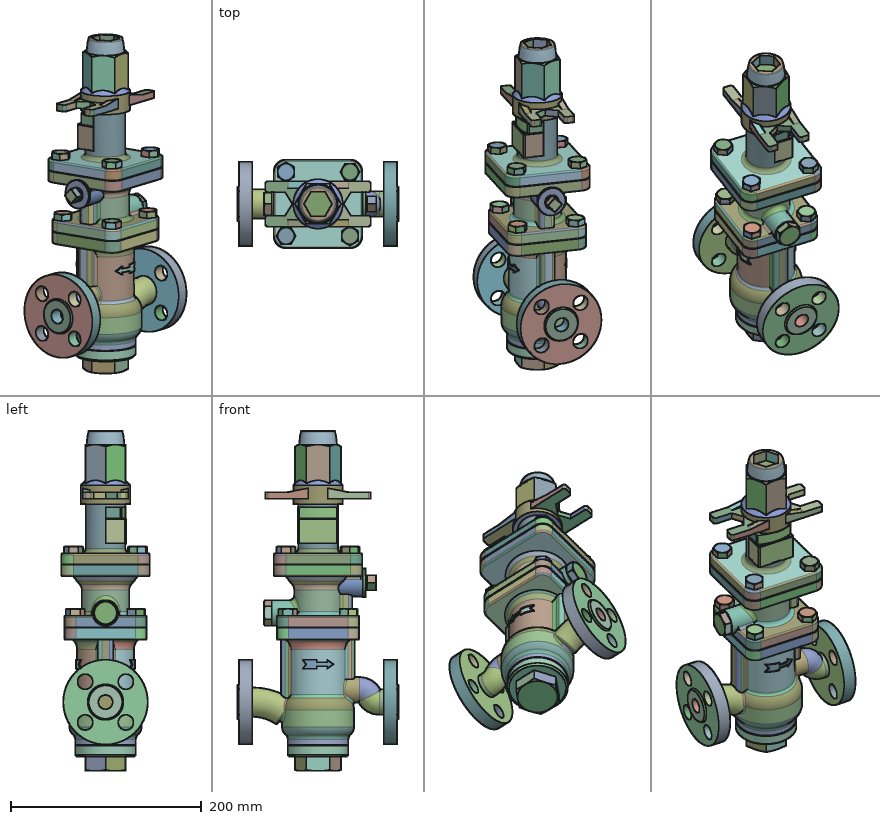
import cadquery as cq
import math


FACE_TO_FACE = 170.0
FLANGE_DIAMETER = 89.0
FLANGE_THICKNESS = 14.0
RAISED_FACE_HEIGHT = 2.0
RAISED_FACE_DIAMETER = 35.0
RAISED_FACE_ROOT_DIAMETER = 37.5
FLANGE_HOLE_DIAMETER = 16.0
FLANGE_BOLT_CIRCLE = 60.5
PORT_DIAMETER = 15.0

INLET_DIAMETER = 31.0
INLET_BEND_RADIUS = 59.0
INLET_BEND_ANGLE = 36.0
OUTLET_DIAMETER = 27.0
OUTLET_BEND_RADIUS = 11.7
OUTLET_BEND_ANGLE = 63.6
OUTLET_STUB_END = 64.5
PIPE_JOINT_FILLET = 2.0

BOTTOM = -72.3
CAP_BOTTOM = -57.3
CAP_CHAMFER = 2.0
CAP_TOP = -45.6
CAP_RADIUS = 32.0
BOTTOM_HEX_FLATS = 42.0
BOTTOM_HEX_CHAMFER = 1.5
BULB_RADIUS = 38.0
BULB_BOTTOM = -25.8
BULB_TOP = -7.9
BULB_LOWER_ROUND = 11.0
CAP_FILLET = 6.0
BULB_UPPER_ROUND = 16.0
NECK_FILLET = 4.5
NECK_RADIUS = 30.0
FLARE_START = 55.5
FLARE_RADIUS = 32.2
FLARE_TOP = 63.2
RIB_WIDTH = 16.0
INLET_RIB_REACH = 39.0
OUTLET_RIB_REACH = 38.7
RIB_ROUND = 4.0
RIB_ROOT_FILLET = 3.5
ARROW_RADIUS = 31.0

LOWER_PLATE_SIZE = 86.6
LOWER_PLATE_BOTTOM = 65.3
LOWER_PLATE_SPLIT = 78.4
LOWER_PLATE_TOP = 90.9
LOWER_CORNER_RADIUS = 12.0
LOWER_BOLT_CIRCLE = 90.0

MIDDLE_RADIUS = 25.0
MIDDLE_FOOT_FILLET = 4.5
MIDDLE_FLARE_START = 118.0
MIDDLE_CONE_START = 123.7
MIDDLE_CONE_START_RADIUS = 27.2
MIDDLE_CONE_END = 127.6
MIDDLE_CONE_END_RADIUS = 30.6
MIDDLE_FLARE_RADIUS = 67.53 / 2
PLUG_AXIS = 93.6
PLUG_BOSS_DIAMETER = 27.0
PLUG_BOSS_END = 48.7
PLUG_END = 56.7
PLUG_FLATS = 23.5
PLUG_CHAMFER_DROP = 1.5
BOSS_FILLET = 5.0
BOSS_FOOT_FILLET = 3.0
SIDE_BOSS_AXIS = 125.2
SIDE_BOSS_DIAMETER = 29.2
SIDE_WASHER_DIAMETER = 30.4
SIDE_BOSS_END = 47.0
SIDE_WASHER_END = 50.0
SIDE_SCREW_NECK_END = 51.5
SIDE_SCREW_NECK_DIAMETER = 15.0
SIDE_SCREW_END = 61.0
SIDE_SCREW_DIAGONAL = 16.0
SIDE_RIB_REACH = 36.0

UPPER_PLATE_SIZE = 93.0
UPPER_PLATE_BOTTOM = 132.0
UPPER_PLATE_SPLIT = 144.4
UPPER_PLATE_TOP = 156.4
UPPER_CORNER_RADIUS = 12.6
UPPER_BOLT_CIRCLE = 95.0

PLATE_EDGE_ROUND = 1.8
GASKET_THICKNESS = 0.6
GASKET_INSET = 0.5
BOLT_FLATS = 17.5
BOLT_HEAD_HEIGHT = 7.0
BOLT_CHAMFER_DROP = 1.2

STEM_RADIUS = 21.0
STEM_FOOT_FILLET = 5.0
BLOCK_WIDTH = 42.4
BLOCK_BOTTOM = 166.6
BLOCK_STEP = 192.9
BLOCK_TOP = 204.5
BLOCK_DEPTH = 21.8
BLOCK_SIDE_DEPTH = 17.2
BLOCK_BOW_DEPTH = 21.2
BLOCK_CHAMFER = 1.5
BLOCK_TOP_CHAMFER = 0.8
COLLAR_RADIUS = 26.0
COLLAR_BOTTOM = 207.9
COLLAR_TOP = 227.8
NUT_FLATS = 42.0
NUT_TOP = 270.2
NUT_CHAMFER_DROP = 2.5
TOP = 284.7
TIP_BASE_RADIUS = 20.0
TIP_TOP_RADIUS = 17.8
TIP_BULGE = 0.4
TIP_EDGE_ROUND = 1.0
SOCKET_FLATS = 25.6
SOCKET_DEPTH = 12.0

HANDLE_REACH = 55.5
HANDLE_HALF_WIDTH = 24.0
HANDLE_BOTTOM = 213.3
HANDLE_TOP = 220.5
ARM_INNER = 12.3
ARM_END_ROUND = 3.0
NOTCH_SHOULDER = 34.5
NOTCH_ROOT = 27.0
RAMP_FOOT = 32.0
RAMP_HEAD = 11.0
RAMP_TOP = 224.4
RAMP_INNER = 16.6


def cylinder_z(radius, bottom, top):
    return cq.Workplane("XY").workplane(offset=bottom).circle(radius).extrude(top - bottom)


def cylinder_x(diameter, start, end, height):
    plane = cq.Workplane("YZ", origin=(start, 0, height))
    return plane.circle(diameter / 2).extrude(end - start)


def hexagon_z(flats, bottom, top):
    """Hexagonal prism along Z with corners on the X axis."""
    corners = flats / math.cos(math.pi / 6)
    return cq.Workplane("XY").workplane(offset=bottom).polygon(6, corners).extrude(top - bottom)


def turned(profile):
    """Revolve a closed (radius, z) wire about the Z axis."""
    return profile.close().revolve(360, (0, 0, 0), (0, 1, 0))


def crowned(prism, flats, bottom, top, drop):
    """Trim the top corners of a hexagonal prism with a cone."""
    outer = flats / 2 / math.cos(math.pi / 6) + 1
    slope = (outer - flats / 2) / drop
    cone = turned(
        cq.Workplane("XZ").moveTo(0, bottom).lineTo(outer, bottom).lineTo(outer, top - drop)
        .lineTo(outer - slope * drop, top).lineTo(0, top)
    )
    return prism.intersect(cone)


def point_on_circle(center, radius, angle):
    return (center[0] + radius * math.cos(angle), center[1] + radius * math.sin(angle))


def shoulder_points(outer, start, crown, inner, fillet, direction):
    """Arc points of a convex crown that runs into a concave fillet on a slimmer neck."""
    crown_center = (outer - crown, start)
    reach = inner + fillet - crown_center[0]
    rise = math.sqrt((crown + fillet) ** 2 - reach ** 2)
    fillet_center = (inner + fillet, start + direction * rise)
    angle = direction * math.atan2(rise, reach)
    return {
        "outer": (outer, start),
        "crown_middle": point_on_circle(crown_center, crown, angle / 2),
        "joint": point_on_circle(crown_center, crown, angle),
        "fillet_middle": point_on_circle(fillet_center, fillet, math.pi + angle / 2),
        "inner": (inner, fillet_center[1]),
    }


def foot_fillet(radius, fillet, base):
    """Solid that flares a post of the given radius onto a flat base."""
    middle = fillet * (1 - math.sqrt(0.5))
    return turned(
        cq.Workplane("XZ").moveTo(0, base).lineTo(radius + fillet, base)
        .threePointArc((radius + middle, base + middle), (radius, base + fillet))
        .lineTo(0, base + fillet)
    )


def lower_body():
    low = shoulder_points(BULB_RADIUS, BULB_BOTTOM, BULB_LOWER_ROUND, CAP_RADIUS, CAP_FILLET, -1)
    high = shoulder_points(BULB_RADIUS, BULB_TOP, BULB_UPPER_ROUND, NECK_RADIUS, NECK_FILLET, 1)
    flare_middle = (NECK_RADIUS + 0.5, (FLARE_START + FLARE_TOP) / 2)
    body = turned(
        cq.Workplane("XZ").moveTo(0, CAP_BOTTOM)
        .lineTo(CAP_RADIUS - CAP_CHAMFER, CAP_BOTTOM)
        .lineTo(CAP_RADIUS, CAP_BOTTOM + CAP_CHAMFER)
        .lineTo(CAP_RADIUS, CAP_TOP)
        .lineTo(CAP_RADIUS - GASKET_INSET, CAP_TOP)
        .lineTo(CAP_RADIUS - GASKET_INSET, CAP_TOP + GASKET_THICKNESS)
        .lineTo(CAP_RADIUS, CAP_TOP + GASKET_THICKNESS)
        .lineTo(*low["inner"])
        .threePointArc(low["fillet_middle"], low["joint"])
        .threePointArc(low["crown_middle"], low["outer"])
        .lineTo(*high["outer"])
        .threePointArc(high["crown_middle"], high["joint"])
        .threePointArc(high["fillet_middle"], high["inner"])
        .lineTo(NECK_RADIUS, FLARE_START)
        .threePointArc(flare_middle, (FLARE_RADIUS, FLARE_TOP))
        .lineTo(FLARE_RADIUS + LOWER_PLATE_BOTTOM - FLARE_TOP, LOWER_PLATE_BOTTOM)
        .lineTo(0, LOWER_PLATE_BOTTOM)
    )
    plug = hexagon_z(BOTTOM_HEX_FLATS, -CAP_BOTTOM, -BOTTOM)
    plug = crowned(plug, BOTTOM_HEX_FLATS, -CAP_BOTTOM, -BOTTOM, BOTTOM_HEX_CHAMFER)
    return body.union(plug.mirror("XY"))


def side_rib(direction, body_radius, reach, bottom, top):
    """Vertical rib on the +X or -X side, rounded outside and blended into a round body."""
    half = RIB_WIDTH / 2
    center_y = half + RIB_ROOT_FILLET
    center_x = math.sqrt((body_radius + RIB_ROOT_FILLET) ** 2 - center_y ** 2)
    root_angle = math.atan2(center_y, center_x)
    root_x, root_y = point_on_circle((0, 0), body_radius, root_angle)
    middle_angle = (root_angle + math.pi + 1.5 * math.pi) / 2
    middle_x, middle_y = point_on_circle((center_x, center_y), RIB_ROOT_FILLET, middle_angle)
    rib = (
        cq.Workplane("XY").workplane(offset=bottom)
        .moveTo(0, root_y).lineTo(root_x, root_y)
        .threePointArc((middle_x, middle_y), (center_x, half))
        .lineTo(reach, half).lineTo(reach, -half).lineTo(center_x, -half)
        .threePointArc((middle_x, -middle_y), (root_x, -root_y))
        .lineTo(0, -root_y).close().extrude(top - bottom)
    )
    rib = rib.faces(">X").edges("|Z").fillet(RIB_ROUND)
    return rib if direction > 0 else rib.mirror("YZ")


def body_ribs():
    inlet_rib = side_rib(-1, NECK_RADIUS, INLET_RIB_REACH, BULB_TOP, LOWER_PLATE_BOTTOM)
    outlet_height = 2 * OUTLET_BEND_RADIUS * (1 - math.cos(math.radians(OUTLET_BEND_ANGLE)))
    outlet_rib = side_rib(1, NECK_RADIUS, OUTLET_RIB_REACH, outlet_height, LOWER_PLATE_BOTTOM)
    return inlet_rib.union(outlet_rib)


def flow_arrows():
    """Raised flow arrows pointing to +X on the front and back of the neck."""
    tail, block_end, head, tip = -16.0, -1.3, 9.5, 16.3
    middle, half_height, half_shaft = 39.7, 4.7, 2.0
    tail_notch = 3.5
    outline = [
        (tail, middle + half_height),
        (block_end, middle + half_height),
        (block_end, middle + half_shaft),
        (head, middle + half_shaft),
        (head, middle + half_height),
        (tip, middle),
        (head, middle - half_height),
        (head, middle - half_shaft),
        (block_end, middle - half_shaft),
        (block_end, middle - half_height),
        (tail, middle - half_height),
        (tail + tail_notch, middle),
    ]
    prism = cq.Workplane("XZ").polyline(outline).close().extrude(ARROW_RADIUS, both=True)
    return prism.intersect(cylinder_z(ARROW_RADIUS, middle - half_height, middle + half_height))


def plate_half(size, corner_radius, bottom, top, rounded_face):
    plate = cq.Workplane("XY").workplane(offset=bottom).rect(size, size).extrude(top - bottom)
    plate = plate.edges("|Z").fillet(corner_radius)
    return plate.faces(rounded_face).edges().fillet(PLATE_EDGE_ROUND)


def bolted_plates(size, corner_radius, bottom, split, top, bolt_circle):
    """Two square plates on a gasket, with four hexagon heads on top."""
    half_gasket = GASKET_THICKNESS / 2
    stack = plate_half(size, corner_radius, bottom, split - half_gasket, "<Z")
    stack = stack.union(plate_half(size, corner_radius, split + half_gasket, top, ">Z"))
    gasket_size = size - 2 * GASKET_INSET
    gasket = cq.Workplane("XY").workplane(offset=split - half_gasket)
    gasket = gasket.rect(gasket_size, gasket_size).extrude(GASKET_THICKNESS)
    stack = stack.union(gasket.edges("|Z").fillet(corner_radius - GASKET_INSET))
    head = hexagon_z(BOLT_FLATS, split, top + BOLT_HEAD_HEIGHT)
    head = crowned(head, BOLT_FLATS, split, top + BOLT_HEAD_HEIGHT, BOLT_CHAMFER_DROP)
    offset = bolt_circle / 2 * math.sqrt(0.5)
    head = head.translate((-offset, -offset, 0))
    for quarter in range(4):
        stack = stack.union(head.rotate((0, 0, 0), (0, 0, 1), 90 * quarter))
    return stack


def boss_foot(axis, diameter, plate_face, direction, length):
    """Fillet strip along +X between a boss and the flat face of a plate."""
    strip_edge = plate_face + direction * BOSS_FOOT_FILLET
    half = math.sqrt((diameter / 2) ** 2 - (strip_edge - axis) ** 2)
    foot_edge = half + BOSS_FOOT_FILLET
    inset = BOSS_FOOT_FILLET * (1 - math.sqrt(0.5))
    middle_z = plate_face + direction * inset
    return (
        cq.Workplane("YZ").moveTo(-foot_edge, plate_face)
        .threePointArc((-half - inset, middle_z), (-half, strip_edge))
        .lineTo(half, strip_edge)
        .threePointArc((half + inset, middle_z), (foot_edge, plate_face))
        .close().extrude(length)
    )


def middle_body():
    """Neck between the plates, flaring out above, with the plug boss filleted onto its -X side."""
    curve_middle = (MIDDLE_RADIUS + 0.6, (MIDDLE_FLARE_START + MIDDLE_CONE_START) / 2)
    mouth_middle = (MIDDLE_CONE_END_RADIUS + 1.4, (MIDDLE_CONE_END + UPPER_PLATE_BOTTOM) / 2)
    neck = turned(
        cq.Workplane("XZ").moveTo(0, LOWER_PLATE_SPLIT).lineTo(MIDDLE_RADIUS, LOWER_PLATE_SPLIT)
        .lineTo(MIDDLE_RADIUS, MIDDLE_FLARE_START)
        .threePointArc(curve_middle, (MIDDLE_CONE_START_RADIUS, MIDDLE_CONE_START))
        .lineTo(MIDDLE_CONE_END_RADIUS, MIDDLE_CONE_END)
        .threePointArc(mouth_middle, (MIDDLE_FLARE_RADIUS, UPPER_PLATE_BOTTOM))
        .lineTo(0, UPPER_PLATE_BOTTOM)
    )
    neck = neck.union(cylinder_x(PLUG_BOSS_DIAMETER, -PLUG_BOSS_END, 0, PLUG_AXIS))
    joint = cq.selectors.BoxSelector(
        (-MIDDLE_RADIUS - 1, -PLUG_BOSS_DIAMETER, PLUG_AXIS - PLUG_BOSS_DIAMETER / 2 - 1),
        (-1, PLUG_BOSS_DIAMETER, PLUG_AXIS + PLUG_BOSS_DIAMETER / 2 + 1),
        boundingbox=True,
    )
    neck = neck.edges(joint).fillet(BOSS_FILLET)
    return neck.union(foot_fillet(MIDDLE_RADIUS, MIDDLE_FOOT_FILLET, LOWER_PLATE_TOP))


def inlet_side_plug():
    """Chamfered hexagon plug at the end of the -X boss, and the fillet under that boss."""
    plug = hexagon_z(PLUG_FLATS, PLUG_BOSS_END, PLUG_END)
    plug = crowned(plug, PLUG_FLATS, PLUG_BOSS_END, PLUG_END, PLUG_CHAMFER_DROP)
    plug = plug.rotate((0, 0, 0), (0, 1, 0), 90).translate((0, 0, PLUG_AXIS))
    foot_length = LOWER_PLATE_SIZE / 2 - PLATE_EDGE_ROUND
    foot = boss_foot(PLUG_AXIS, PLUG_BOSS_DIAMETER, LOWER_PLATE_TOP, 1, foot_length)
    return plug.union(foot).mirror("YZ")


def outlet_side_screw():
    """Boss, washer and square-headed screw on the +X side, carried by a rib."""
    boss = cylinder_x(SIDE_BOSS_DIAMETER, 0, SIDE_BOSS_END, SIDE_BOSS_AXIS)
    foot_length = UPPER_PLATE_SIZE / 2 - PLATE_EDGE_ROUND
    foot = boss_foot(SIDE_BOSS_AXIS, SIDE_BOSS_DIAMETER, UPPER_PLATE_BOTTOM, -1, foot_length)
    washer = cylinder_x(SIDE_WASHER_DIAMETER, SIDE_BOSS_END, SIDE_WASHER_END, SIDE_BOSS_AXIS)
    neck = cylinder_x(SIDE_SCREW_NECK_DIAMETER, SIDE_BOSS_END, SIDE_SCREW_NECK_END, SIDE_BOSS_AXIS)
    head = cq.Workplane("YZ", origin=(SIDE_SCREW_NECK_END, 0, SIDE_BOSS_AXIS))
    head = head.polygon(4, SIDE_SCREW_DIAGONAL).extrude(SIDE_SCREW_END - SIDE_SCREW_NECK_END)
    rib = side_rib(1, MIDDLE_RADIUS, SIDE_RIB_REACH, LOWER_PLATE_TOP, SIDE_BOSS_AXIS)
    return boss.union(foot).union(washer).union(neck).union(head).union(rib)


def stem():
    post = cylinder_z(STEM_RADIUS, UPPER_PLATE_TOP, COLLAR_BOTTOM)
    return post.union(foot_fillet(STEM_RADIUS, STEM_FOOT_FILLET, UPPER_PLATE_TOP))


def indicator_block():
    """Flat-fronted block on the stem with a bow-fronted block above it."""
    half = BLOCK_WIDTH / 2
    lower = cq.Workplane("XY", origin=(0, -BLOCK_DEPTH / 2, BLOCK_BOTTOM))
    lower = lower.rect(BLOCK_WIDTH, BLOCK_DEPTH).extrude(BLOCK_STEP - BLOCK_BOTTOM)
    lower = lower.faces("<Y").edges("|Z").chamfer(BLOCK_CHAMFER)
    lower = lower.faces(">Z").edges().chamfer(BLOCK_TOP_CHAMFER)
    upper = (
        cq.Workplane("XY").workplane(offset=BLOCK_STEP)
        .moveTo(-half, 0).lineTo(-half, BLOCK_CHAMFER - BLOCK_SIDE_DEPTH)
        .lineTo(BLOCK_CHAMFER - half, -BLOCK_SIDE_DEPTH)
        .threePointArc((0, -BLOCK_BOW_DEPTH), (half - BLOCK_CHAMFER, -BLOCK_SIDE_DEPTH))
        .lineTo(half, BLOCK_CHAMFER - BLOCK_SIDE_DEPTH).lineTo(half, 0).close()
        .extrude(BLOCK_TOP - BLOCK_STEP)
    )
    return lower.union(upper)


def adjusting_nut():
    cone_rise = COLLAR_RADIUS - NUT_FLATS / 2
    collar = turned(
        cq.Workplane("XZ").moveTo(0, COLLAR_BOTTOM).lineTo(COLLAR_RADIUS, COLLAR_BOTTOM)
        .lineTo(COLLAR_RADIUS, COLLAR_TOP)
        .lineTo(COLLAR_RADIUS - cone_rise, COLLAR_TOP + cone_rise)
        .lineTo(0, COLLAR_TOP + cone_rise)
    )
    nut = hexagon_z(NUT_FLATS, COLLAR_TOP, NUT_TOP)
    nut = crowned(nut, NUT_FLATS, COLLAR_TOP, NUT_TOP, NUT_CHAMFER_DROP)
    tip_middle = ((TIP_BASE_RADIUS + TIP_TOP_RADIUS) / 2 + TIP_BULGE, (NUT_TOP + TOP) / 2)
    tip = turned(
        cq.Workplane("XZ").moveTo(0, NUT_TOP).lineTo(TIP_BASE_RADIUS, NUT_TOP)
        .threePointArc(tip_middle, (TIP_TOP_RADIUS, TOP)).lineTo(0, TOP)
    )
    tip = tip.faces(">Z").edges().fillet(TIP_EDGE_ROUND)
    socket = hexagon_z(SOCKET_FLATS, TOP - SOCKET_DEPTH, TOP)
    return collar.union(nut).union(tip).cut(socket)


def handle():
    """H-shaped plate with four arms and ramps that climb towards the collar."""
    width = 2 * HANDLE_HALF_WIDTH
    thickness = HANDLE_TOP - HANDLE_BOTTOM
    plate = cq.Workplane("XY").workplane(offset=HANDLE_BOTTOM)
    plate = plate.rect(2 * HANDLE_REACH, width).extrude(thickness)
    for direction in (-1, 1):
        notch = cq.Workplane("XY").workplane(offset=HANDLE_BOTTOM).polyline([
            (direction * HANDLE_REACH, ARM_INNER),
            (direction * NOTCH_SHOULDER, ARM_INNER),
            (direction * NOTCH_ROOT, 0),
            (direction * NOTCH_SHOULDER, -ARM_INNER),
            (direction * HANDLE_REACH, -ARM_INNER),
        ]).close().extrude(thickness)
        plate = plate.cut(notch)
    plate = plate.faces("<X or >X").edges("|Z").fillet(ARM_END_ROUND)
    ramp = cq.Workplane("XZ").polyline([
        (-RAMP_FOOT, HANDLE_TOP),
        (-RAMP_HEAD, RAMP_TOP),
        (RAMP_HEAD, RAMP_TOP),
        (RAMP_FOOT, HANDLE_TOP),
    ]).close().extrude(HANDLE_HALF_WIDTH - RAMP_INNER).translate((0, -RAMP_INNER, 0))
    return plate.union(ramp).union(ramp.mirror("XZ"))


def flange_solid():
    """Pipe flange with its raised face, laid out on the +X side."""
    face = FACE_TO_FACE / 2
    front = face - RAISED_FACE_HEIGHT
    flange = cylinder_x(FLANGE_DIAMETER, front - FLANGE_THICKNESS, front, 0)
    raised = cq.Workplane("YZ", origin=(front, 0, 0)).circle(RAISED_FACE_ROOT_DIAMETER / 2)
    raised = raised.workplane(offset=RAISED_FACE_HEIGHT).circle(RAISED_FACE_DIAMETER / 2).loft()
    holes = cq.Workplane("YZ", origin=(front - FLANGE_THICKNESS, 0, 0))
    holes = holes.polarArray(FLANGE_BOLT_CIRCLE / 2, 45, 360, 4)
    holes = holes.circle(FLANGE_HOLE_DIAMETER / 2).extrude(FLANGE_THICKNESS)
    return flange.union(raised).cut(holes)


def port_bores():
    depth = FLANGE_THICKNESS + RAISED_FACE_HEIGHT
    bore = cylinder_x(PORT_DIAMETER, FACE_TO_FACE / 2 - depth, FACE_TO_FACE / 2, 0)
    return bore.union(bore.mirror("YZ"))


def flange_back():
    return FACE_TO_FACE / 2 - RAISED_FACE_HEIGHT - FLANGE_THICKNESS


def inlet_pipe():
    """Pipe that leaves the -X flange level and bends down into the bulb."""
    pipe = cq.Workplane("YZ", origin=(-flange_back(), 0, 0)).circle(INLET_DIAMETER / 2)
    return pipe.revolve(INLET_BEND_ANGLE, (-1, -INLET_BEND_RADIUS, 0), (1, -INLET_BEND_RADIUS, 0))


def outlet_elbow():
    """Tight bend at the flange stub; the section stops at the bend axis."""
    radius = OUTLET_DIAMETER / 2
    chord = math.sqrt(radius ** 2 - OUTLET_BEND_RADIUS ** 2)
    section = cq.Workplane("YZ", origin=(OUTLET_STUB_END, 0, 0))
    section = section.moveTo(-chord, OUTLET_BEND_RADIUS)
    section = section.threePointArc((0, -radius), (chord, OUTLET_BEND_RADIUS))
    axis_start = (-1, OUTLET_BEND_RADIUS, 0)
    axis_end = (1, OUTLET_BEND_RADIUS, 0)
    return section.close().revolve(OUTLET_BEND_ANGLE, axis_start, axis_end)


def outlet_pipe():
    """S-shaped pipe from the neck down to the +X flange."""
    angle = math.radians(OUTLET_BEND_ANGLE)
    middle_x = OUTLET_STUB_END - OUTLET_BEND_RADIUS * math.sin(angle)
    middle_z = OUTLET_BEND_RADIUS * (1 - math.cos(angle))
    flange_bend = outlet_elbow()
    body_bend = flange_bend.rotate((middle_x, 0, middle_z), (middle_x, 1, middle_z), 180)
    stub = cylinder_x(OUTLET_DIAMETER, OUTLET_STUB_END, flange_back(), 0)
    body_run_end = 2 * middle_x - OUTLET_STUB_END
    body_run = cylinder_x(OUTLET_DIAMETER, 0, body_run_end, 2 * middle_z)
    return flange_bend.union(body_bend).union(stub).union(body_run)


def body_with_pipes():
    """Lower body with both pipes, filleted where they enter."""
    body = lower_body().union(inlet_pipe()).union(outlet_pipe())
    joints = (
        cq.selectors.BoxSelector((-45, -16.5, -40), (-25, 16.5, 10)),
        cq.selectors.BoxSelector((20, -15, -6), (41, 15, 28)),
    )
    for joint in joints:
        body = body.edges(joint).fillet(PIPE_JOINT_FILLET)
    return body


lower_plates = bolted_plates(
    LOWER_PLATE_SIZE, LOWER_CORNER_RADIUS,
    LOWER_PLATE_BOTTOM, LOWER_PLATE_SPLIT, LOWER_PLATE_TOP, LOWER_BOLT_CIRCLE,
)
upper_plates = bolted_plates(
    UPPER_PLATE_SIZE, UPPER_CORNER_RADIUS,
    UPPER_PLATE_BOTTOM, UPPER_PLATE_SPLIT, UPPER_PLATE_TOP, UPPER_BOLT_CIRCLE,
)
outlet_flange = flange_solid()
inlet_flange = outlet_flange.mirror("YZ")

result = body_with_pipes()
for piece in (
    body_ribs(), flow_arrows(), lower_plates, middle_body(), inlet_side_plug(),
    outlet_side_screw(), upper_plates, stem(), indicator_block(), handle(), adjusting_nut(),
    inlet_flange, outlet_flange,
):
    result = result.union(piece)
result = result.cut(port_bores())